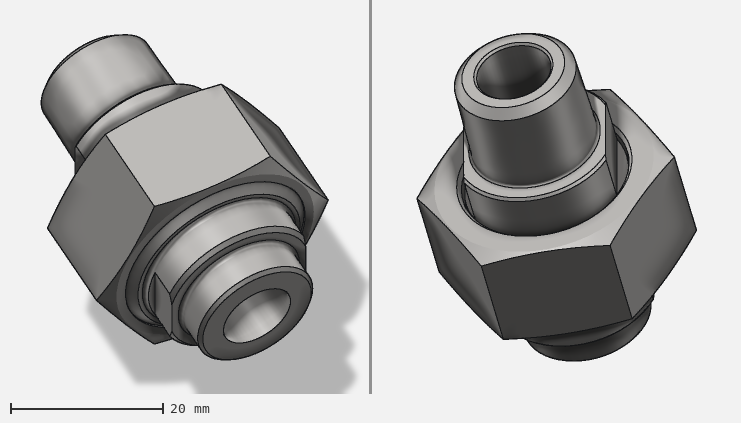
import cadquery as cq
import math

LENGTH = 45.5
BORE_D = 10.0
BORE_RIM_D = 10.65
BORE_RIM_DEPTH = (BORE_RIM_D - BORE_D) / 2
COLLAR_D = 22.0

TAIL_TIP_D = 13.85
TAPER_START_X = 1.2
TAPER_START_D = 16.4
TAPER_END_X = 12.7
TAPER_END_D = 16.95
TAIL_COLLAR_X = 12.9
TAIL_ROOT_D = 17.7
TAIL_COLLAR_CHAMFER = 0.35
TAIL_FLATS = 19.05
TAIL_FLAT_END_X = 19.95
TAIL_FLAT_RUNOUT = 15.0
TAIL_FLANGE_D = 25.0
JOINT_X = 24.55

NUT_START_X = 18.9
NUT_END_X = 34.05
NUT_FLATS = 30.0
NUT_FACE_D = 29.5
NUT_CHAMFER_LENGTH = 0.8
NUT_HOLE_D = 22.5
NUT_HOLE_RIM_D = 23.55
NUT_LIP_X = 21.85
THREAD_D = 26.85

BODY_FACE_X = 35.05
BODY_FACE_D = 24.2
BODY_COLLAR_END_X = 40.5
BODY_COLLAR_CHAMFER = 0.6
BODY_FLATS = 20.0
BODY_FLAT_START_X = 35.9
SPIGOT_D = 17.2
SPIGOT_CHAMFER = 0.5
ROOT_LENGTH = 0.77
ROOT_HEIGHT = 0.45


def blend_middle(foot, crest):
    """Midpoint of the concave arc that leaves its foot along the axis and ends at its crest."""
    run = abs(crest[0] - foot[0])
    rise = crest[1] - foot[1]
    radius = (run**2 + rise**2) / (2 * rise)
    half_angle = math.atan2(rise, run)
    direction = math.copysign(1, crest[0] - foot[0])
    return (
        foot[0] + direction * radius * math.sin(half_angle),
        foot[1] + radius * (1 - math.cos(half_angle)),
    )


def revolve_about_x(profile):
    return profile.close().revolve(360, (0, 0, 0), (1, 0, 0))


def cylinder(start_x, end_x, diameter):
    return cq.Workplane("YZ", origin=(start_x, 0, 0)).circle(diameter / 2).extrude(end_x - start_x)


def rim_cone(face_x, inner_x, rim_d, inner_d):
    """Cone that countersinks a hole, widest at face_x."""
    profile = (
        cq.Workplane("XY")
        .moveTo(face_x, 0)
        .lineTo(face_x, rim_d / 2)
        .lineTo(inner_x, inner_d / 2)
        .lineTo(inner_x, 0)
    )
    return revolve_about_x(profile)


def cut_flats(solid, start_x, end_x, across, runout_degrees=0.0):
    """Two parallel flats facing -Y and +Y; the wall at end_x leans outward by runout_degrees."""
    inner_y = across / 2
    outer_y = COLLAR_D / 2 + 0.45
    lean = (outer_y - inner_y) * math.tan(math.radians(runout_degrees))
    cutter = (
        cq.Workplane("XY")
        .moveTo(start_x, inner_y)
        .lineTo(end_x, inner_y)
        .lineTo(end_x + lean, outer_y)
        .lineTo(start_x, outer_y)
        .close()
        .extrude(COLLAR_D / 2, both=True)
    )
    return solid.cut(cutter).cut(cutter.mirror("XZ"))


def make_tail():
    collar_r = COLLAR_D / 2
    root_foot = (TAPER_END_X, TAPER_END_D / 2)
    root_crest = (TAIL_COLLAR_X, TAIL_ROOT_D / 2)
    profile = (
        cq.Workplane("XY")
        .moveTo(0, 0)
        .lineTo(0, TAIL_TIP_D / 2)
        .lineTo(TAPER_START_X, TAPER_START_D / 2)
        .lineTo(*root_foot)
        .threePointArc(blend_middle(root_foot, root_crest), root_crest)
        .lineTo(TAIL_COLLAR_X, collar_r - TAIL_COLLAR_CHAMFER)
        .lineTo(TAIL_COLLAR_X + TAIL_COLLAR_CHAMFER, collar_r)
        .lineTo(NUT_LIP_X, collar_r)
        .lineTo(NUT_LIP_X, TAIL_FLANGE_D / 2)
        .lineTo(JOINT_X, TAIL_FLANGE_D / 2)
        .lineTo(JOINT_X, 0)
    )
    tail = revolve_about_x(profile)
    tail = cut_flats(tail, TAIL_COLLAR_X, TAIL_FLAT_END_X, TAIL_FLATS, TAIL_FLAT_RUNOUT)
    tail = tail.cut(cylinder(0, JOINT_X, BORE_D))
    return tail.cut(rim_cone(0, BORE_RIM_DEPTH, BORE_RIM_D, BORE_D))


def make_nut():
    corner_d = NUT_FLATS / math.cos(math.radians(30))
    length = NUT_END_X - NUT_START_X
    hexagon = cq.Workplane("YZ", origin=(NUT_START_X, 0, 0)).polygon(6, corner_d).extrude(length)
    chamfer_envelope = revolve_about_x(
        cq.Workplane("XY")
        .moveTo(NUT_START_X, 0)
        .lineTo(NUT_START_X, NUT_FACE_D / 2)
        .lineTo(NUT_START_X + NUT_CHAMFER_LENGTH, corner_d / 2)
        .lineTo(NUT_END_X - NUT_CHAMFER_LENGTH, corner_d / 2)
        .lineTo(NUT_END_X, NUT_FACE_D / 2)
        .lineTo(NUT_END_X, 0)
    )
    nut = hexagon.intersect(chamfer_envelope)
    nut = nut.cut(cylinder(NUT_START_X, NUT_LIP_X, NUT_HOLE_D))
    nut = nut.cut(cylinder(NUT_LIP_X, NUT_END_X, THREAD_D))
    rim_depth = (NUT_HOLE_RIM_D - NUT_HOLE_D) / 2
    return nut.cut(rim_cone(NUT_START_X, NUT_START_X + rim_depth, NUT_HOLE_RIM_D, NUT_HOLE_D))


def make_body():
    collar_r = COLLAR_D / 2
    spigot_r = SPIGOT_D / 2
    face_chamfer = (THREAD_D - BODY_FACE_D) / 2
    collar_crest = (BODY_FACE_X, collar_r + ROOT_HEIGHT)
    collar_foot = (BODY_FACE_X + ROOT_LENGTH, collar_r)
    spigot_crest = (BODY_COLLAR_END_X, spigot_r + ROOT_HEIGHT)
    spigot_foot = (BODY_COLLAR_END_X + ROOT_LENGTH, spigot_r)
    profile = (
        cq.Workplane("XY")
        .moveTo(JOINT_X, 0)
        .lineTo(JOINT_X, THREAD_D / 2)
        .lineTo(BODY_FACE_X - face_chamfer, THREAD_D / 2)
        .lineTo(BODY_FACE_X, BODY_FACE_D / 2)
        .lineTo(*collar_crest)
        .threePointArc(blend_middle(collar_foot, collar_crest), collar_foot)
        .lineTo(BODY_COLLAR_END_X - BODY_COLLAR_CHAMFER, collar_r)
        .lineTo(BODY_COLLAR_END_X, collar_r - BODY_COLLAR_CHAMFER)
        .lineTo(*spigot_crest)
        .threePointArc(blend_middle(spigot_foot, spigot_crest), spigot_foot)
        .lineTo(LENGTH - SPIGOT_CHAMFER, spigot_r)
        .lineTo(LENGTH, spigot_r - SPIGOT_CHAMFER)
        .lineTo(LENGTH, 0)
    )
    body = cut_flats(revolve_about_x(profile), BODY_FLAT_START_X, BODY_COLLAR_END_X, BODY_FLATS)
    return body.cut(cylinder(JOINT_X, LENGTH, BORE_D))


tail = make_tail()
nut = make_nut()
body = make_body()

result = cq.Compound.makeCompound([tail.val(), nut.val(), body.val()])